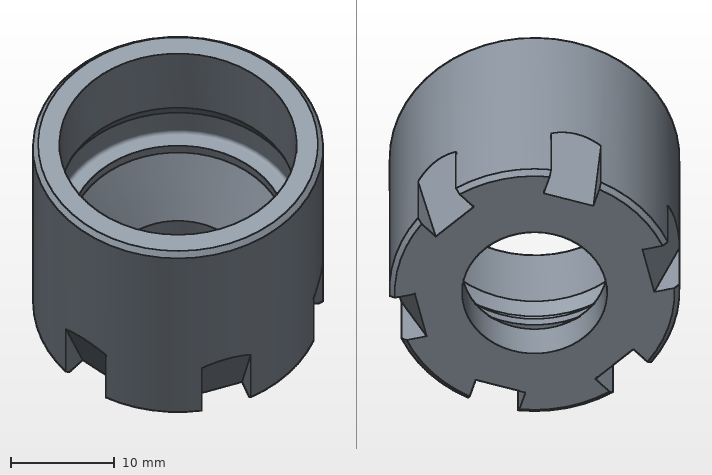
import cadquery as cq
import math

outer_radius = 14.0
height = 24.0
edge_chamfer = 0.5

bore_radius = 11.45
relief_radius = 12.15
relief_cone_top = 15.9
relief_cone_bottom = 14.35
floor_height = 11.37
floor_fillet = 0.4
lip_radius = 10.5
seat_top = 10.33
through_radius = 7.0
seat_angle = 30.0
seat_bottom = seat_top - (lip_radius - through_radius) / math.tan(math.radians(seat_angle))

slot_count = 6
slot_width = 5.0
slot_height = 7.5
slot_angle = 20.0
first_slot_direction = -90.0


def make_body():
    return (
        cq.Workplane("XY")
        .circle(outer_radius)
        .extrude(height)
        .faces("<Z or >Z")
        .chamfer(edge_chamfer)
    )


def make_bore():
    """Revolved half profile of everything removed along the axis."""
    fillet_sag = floor_fillet * (1 - math.sqrt(0.5))
    return (
        cq.Workplane("XZ")
        .moveTo(0, 0)
        .lineTo(through_radius, 0)
        .lineTo(through_radius, seat_bottom)
        .lineTo(lip_radius, seat_top)
        .lineTo(lip_radius, floor_height)
        .lineTo(relief_radius - floor_fillet, floor_height)
        .threePointArc(
            (relief_radius - fillet_sag, floor_height + fillet_sag),
            (relief_radius, floor_height + floor_fillet),
        )
        .lineTo(relief_radius, relief_cone_bottom)
        .lineTo(bore_radius, relief_cone_top)
        .lineTo(bore_radius, height)
        .lineTo(0, height)
        .close()
        .revolve(360, (0, 0, 0), (0, 1, 0))
    )


def make_slot(direction):
    """Wedge whose sloped floor meets the outer wall at the slot height."""
    floor_slope = math.tan(math.radians(slot_angle))
    floor_depth = slot_height * floor_slope
    wedge = (
        cq.Workplane("XZ")
        .moveTo(outer_radius - floor_depth, 0)
        .lineTo(outer_radius, slot_height)
        .lineTo(outer_radius + floor_depth, slot_height)
        .lineTo(outer_radius + floor_depth, 0)
        .close()
        .extrude(slot_width / 2, both=True)
    )
    return wedge.rotate((0, 0, 0), (0, 0, 1), direction)


result = make_body().cut(make_bore())
for index in range(slot_count):
    result = result.cut(make_slot(first_slot_direction + index * 360 / slot_count))